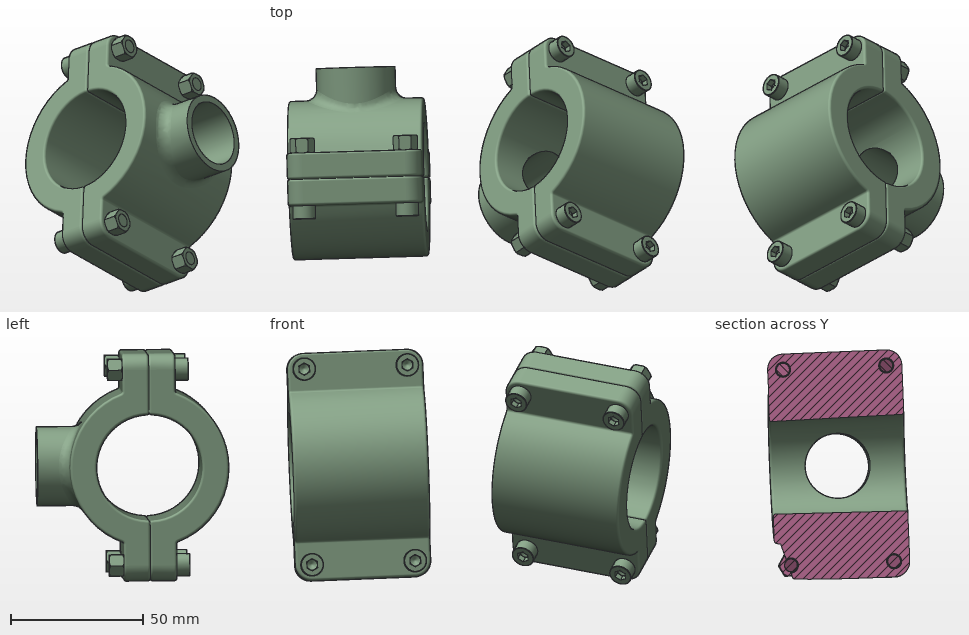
import cadquery as cq
import math


clamp_length = 51.0
outer_radius = 30.0
bore_diameter = 40.0
flange_thickness = 10.0
edge_radius = 1.0

screw_pitch_x = 39.0
screw_pitch_z = 74.0
corner_radius = (clamp_length - screw_pitch_x) / 2
flange_height = screw_pitch_z + 2 * corner_radius
clearance_diameter = 5.5

branch_diameter = 30.0
branch_bore_diameter = 24.5
branch_reach = 42.0
branch_fillet = 4.0

shank_diameter = 5.0
head_diameter = 8.5
head_height = 5.0
head_edge_chamfer = 0.2
socket_width = 4.0
socket_depth = 2.5
socket_turn = 30
socket_cone_depth = 1.1

nut_width = 8.0
nut_height = 5.5
nut_chamfer = 0.4

tilt_x = -0.6
tilt_y = -2.3
tilt_z = 1.7

hex_ratio = 2 / math.sqrt(3)
origin = (0, 0, 0)
along_y = cq.Vector(0, 1, 0)
screw_places = [
    (side_x * screw_pitch_x / 2, side_z * screw_pitch_z / 2)
    for side_x in (-1, 1)
    for side_z in (-1, 1)
]


def y_cylinder(diameter, start, length, x=0, z=0):
    """Cylinder along +Y from y = start, centred on (x, z)."""
    base = cq.Vector(x, start, z)
    return cq.Workplane(cq.Solid.makeCylinder(diameter / 2, length, base, along_y))


def x_cylinder(diameter):
    """Cylinder along X over the length of the clamp."""
    return cq.Workplane("YZ").circle(diameter / 2).extrude(clamp_length / 2, both=True)


def y_hexagon(width, start, length, x, z):
    """Hexagonal prism along +Y from y = start, centred on (x, z), with two corners along X."""
    plane = cq.Plane(origin=(x, start, z), xDir=(1, 0, 0), normal=(0, 1, 0))
    return cq.Workplane(plane).polygon(6, width * hex_ratio).extrude(length)


def plain_half():
    """Half ring with two flanges on the +Y side of the parting plane, all edges rounded."""
    half_space = cq.Workplane("XY").box(
        clamp_length, outer_radius, flange_height, centered=(True, False, True)
    )
    flange = (
        cq.Workplane("XY")
        .box(clamp_length, flange_thickness, flange_height, centered=(True, False, True))
        .edges("|Y")
        .fillet(corner_radius)
    )
    half = x_cylinder(2 * outer_radius).intersect(half_space).union(flange)
    half = half.cut(x_cylinder(bore_diameter))
    return half.edges().fillet(edge_radius)


def drill_flanges(half):
    """Clearance holes for the four screws."""
    for x, z in screw_places:
        half = half.cut(y_cylinder(clearance_diameter, -outer_radius, 2 * outer_radius, x, z))
    return half


def make_branch_half():
    """Half on the +Y side, with the branch blended into the ring and bored through to the main bore."""
    branch_start = (bore_diameter / 2 + outer_radius) / 2
    branch = y_cylinder(branch_diameter, branch_start, branch_reach - branch_start)
    half = plain_half().union(branch)
    root_box = cq.selectors.BoxSelector(
        (-branch_diameter / 2, branch_start, -branch_diameter / 2),
        (branch_diameter / 2, outer_radius, branch_diameter / 2),
    )
    half = half.edges(root_box).fillet(branch_fillet)
    half = half.cut(y_cylinder(branch_bore_diameter, 0, branch_reach))
    return drill_flanges(half)


def make_cover_half():
    """Half on the -Y side, without a branch."""
    return drill_flanges(plain_half().mirror("XZ"))


def make_screw(x, z):
    """Socket-head screw whose head bears on the -Y flange and whose shank ends flush with the nut."""
    head_top = -flange_thickness - head_height
    head = y_cylinder(head_diameter, head_top, head_height, x, z)
    head = head.faces("<Y").edges().chamfer(head_edge_chamfer)
    shank = y_cylinder(shank_diameter, -flange_thickness, 2 * flange_thickness + nut_height, x, z)
    socket = y_hexagon(socket_width, head_top, socket_depth, 0, 0)
    socket = socket.rotate(origin, (0, 1, 0), socket_turn).translate((x, 0, z))
    cone_base = cq.Vector(x, head_top + socket_depth, z)
    cone = cq.Solid.makeCone(socket_width / 2, 0, socket_cone_depth, cone_base, along_y)
    return head.union(shank).cut(socket).cut(cq.Workplane(cone))


def make_nut(x, z):
    """Hex nut on the +Y flange, corners along X, with both ends chamfered."""
    blank = y_hexagon(nut_width, flange_thickness, nut_height, x, z)
    turned = y_cylinder(nut_width * hex_ratio, flange_thickness, nut_height, x, z)
    turned = turned.faces("<Y or >Y").edges().chamfer(nut_chamfer)
    hole = y_cylinder(shank_diameter, flange_thickness, nut_height, x, z)
    return blank.intersect(turned).cut(hole)


def tilted(body):
    """Body turned from the square frame into its final place."""
    body = body.rotate(origin, (1, 0, 0), tilt_x)
    body = body.rotate(origin, (0, 1, 0), tilt_y)
    return body.rotate(origin, (0, 0, 1), tilt_z)


branch_half = tilted(make_branch_half())
cover_half = tilted(make_cover_half())
screws = [tilted(make_screw(x, z)) for x, z in screw_places]
nuts = [tilted(make_nut(x, z)) for x, z in screw_places]

result = cq.Compound.makeCompound(
    [branch_half.val(), cover_half.val()]
    + [screw.val() for screw in screws]
    + [nut.val() for nut in nuts]
)